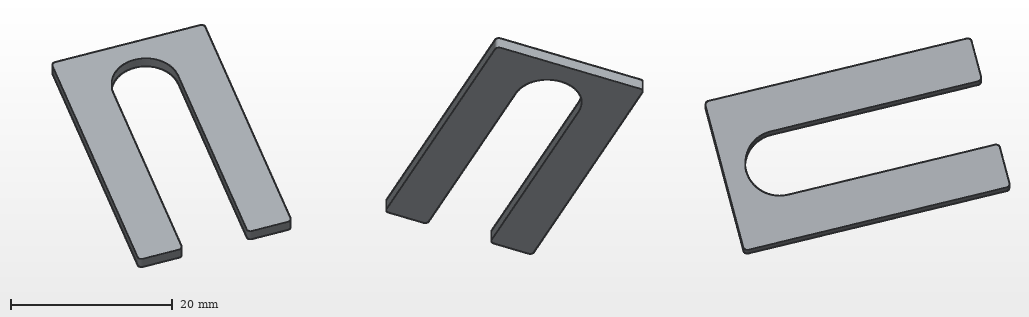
import cadquery as cq

length = 34.0
width = 20.0
thickness = 1.55
corner_radius = 0.5

slot_width = 8.5
slot_wall = 2.8

slot_radius = slot_width / 2
slot_center_x = -length / 2 + slot_wall + slot_radius
slot_run = length / 2 - slot_center_x


def make_slot():
    """Solid that cuts the open slot through the plate."""
    round_end = cq.Workplane("XY").center(slot_center_x, 0).circle(slot_radius).extrude(thickness)
    straight = (
        cq.Workplane("XY")
        .center(slot_center_x, 0)
        .rect(slot_run, slot_width, centered=(False, True))
        .extrude(thickness)
    )
    return round_end.union(straight)


plate = cq.Workplane("XY").rect(length, width).extrude(thickness)

result = plate.cut(make_slot())
result = result.faces("<X or >X").edges("|Z").fillet(corner_radius)